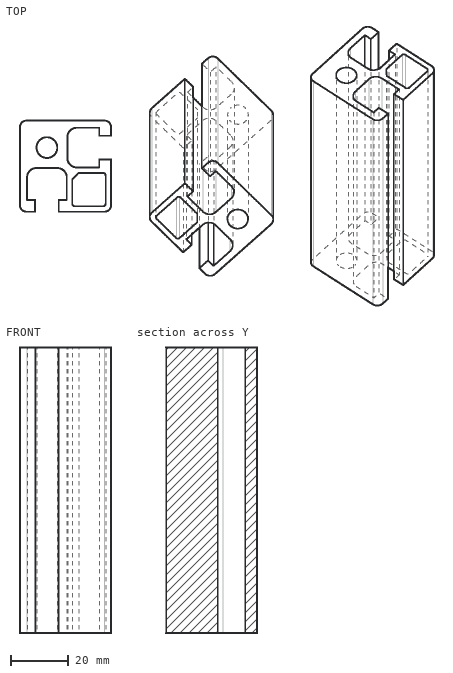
import cadquery as cq

side = 32.0
length = 100.0
outer_radius = 2.4

slot_center = 9.5
slot_mouth = 8.2
slot_cavity = 13.8
slot_depth = 15.3
lip_thickness = 4.2
cavity_radius = 3.2

hole_diameter = 7.2

hollow_side = 11.6
hollow_wall = 2.0
hollow_chamfer = 2.2
hollow_radius = 0.8

half = side / 2
slot_offset = half - slot_center


def box_cut(width, height, x, y):
    """Full-length rectangular cutter centred at (x, y)."""
    return cq.Workplane("XY").center(x, y).rect(width, height).extrude(length)


def bottom_slot():
    """T-slot cutter opening on the -Y side."""
    mouth = box_cut(slot_mouth, lip_thickness, -slot_offset, -half + lip_thickness / 2)
    cavity_depth = slot_depth - lip_thickness
    cavity_y = -half + lip_thickness + cavity_depth / 2
    cavity = box_cut(slot_cavity, cavity_depth, -slot_offset, cavity_y)
    cavity = cavity.faces(">Y").edges("|Z").fillet(cavity_radius)
    return cavity.union(mouth)


def mirror_across_diagonal(cutter):
    """Swap the -Y and +X sides, keeping the solid corner in place."""
    return cutter.rotate((0, 0, 0), (0, 0, 1), 90).mirror("XZ")


def corner_hollow():
    """Square cutter with its innermost corner chamfered and the rest rounded."""
    center = half - hollow_wall - hollow_side / 2
    hollow = box_cut(hollow_side, hollow_side, center, -center)
    hollow = hollow.edges("|Z and (>(1, 1, 0) or <(1, 1, 0) or >(1, -1, 0))").fillet(hollow_radius)
    return hollow.edges("|Z and <(1, -1, 0)").chamfer(hollow_chamfer)


body = box_cut(side, side, 0, 0).edges("|Z").fillet(outer_radius)
slot = bottom_slot()
hole = cq.Workplane("XY").center(-slot_offset, slot_offset).circle(hole_diameter / 2).extrude(length)

result = body.cut(slot).cut(mirror_across_diagonal(slot)).cut(hole).cut(corner_hollow())